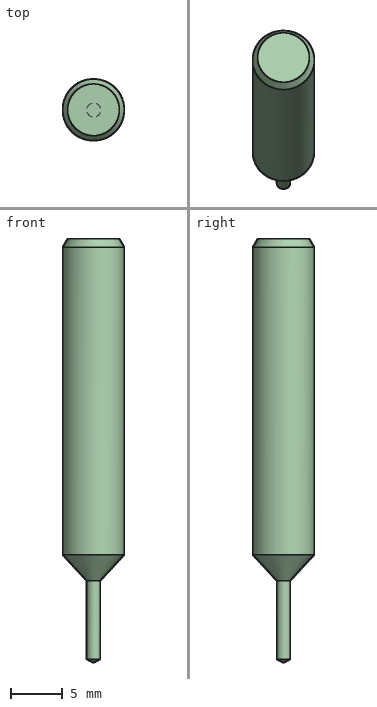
import cadquery as cq

total_length = 41.0
shank_diameter = 6.0
top_chamfer_height = 0.8
top_chamfer_width = 0.5
taper_height = 2.5
needle_diameter = 1.35
needle_length = 7.95
point_height = 0.35

shank_radius = shank_diameter / 2
needle_radius = needle_diameter / 2
top_radius = shank_radius - top_chamfer_width
shoulder_z = needle_length + taper_height
chamfer_start_z = total_length - top_chamfer_height


def revolve_about_z(profile):
    """Revolve a closed (radius, z) outline a full turn about the Z axis."""
    return (
        cq.Workplane("XZ")
        .polyline(profile)
        .close()
        .revolve(360, (0, 0, 0), (0, 1, 0))
    )


def make_shank():
    """Round shank with a chamfered top and a conical lower end."""
    return revolve_about_z([
        (0, needle_length),
        (needle_radius, needle_length),
        (shank_radius, shoulder_z),
        (shank_radius, chamfer_start_z),
        (top_radius, total_length),
        (0, total_length),
    ])


def make_needle():
    """Thin round needle with a shallow conical point at Z = 0."""
    return revolve_about_z([
        (0, 0),
        (needle_radius, point_height),
        (needle_radius, needle_length),
        (0, needle_length),
    ])


shank = make_shank()
needle = make_needle()

result = cq.Compound.makeCompound([shank.val(), needle.val()])